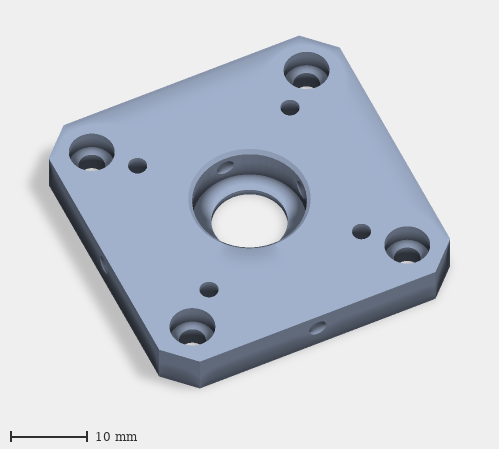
import cadquery as cq

plate_side = 42.0
plate_thickness = 6.0
corner_chamfer = 4.0

seat_diameter = 15.0
seat_depth = 5.0
seat_chamfer = 0.5
bore_diameter = 10.0

mount_spacing = 31.0
mount_hole_diameter = 3.5
mount_head_diameter = 6.0
mount_head_depth = 3.0

small_hole_spacing = 22.0
small_hole_diameter = 2.5

cross_hole_diameter = 2.5
cross_hole_height = 3.5


def make_plate():
    """Square plate with its bottom on Z = 0 and its vertical corners cut off."""
    plate = cq.Workplane("XY").box(plate_side, plate_side, plate_thickness, centered=(True, True, False))
    return plate.edges("|Z").chamfer(corner_chamfer)


def cut_central_bore(body):
    """Through bore with a wider seat from the top and a chamfered seat rim."""
    top = body.faces(">Z").workplane(origin=(0, 0, plate_thickness))
    body = top.cboreHole(bore_diameter, seat_diameter, seat_depth)
    rim_radius = seat_diameter / 2 + seat_chamfer
    rim = cq.Solid.makeCone(
        seat_diameter / 2,
        rim_radius,
        seat_chamfer,
        pnt=cq.Vector(0, 0, plate_thickness - seat_chamfer),
    )
    return body.cut(cq.Workplane(rim))


def square_pattern(body, spacing):
    """Four points on the top face at the corners of a centred square."""
    top = body.faces(">Z").workplane(origin=(0, 0, plate_thickness))
    return top.rect(spacing, spacing, forConstruction=True).vertices()


def cut_cross_holes(body):
    """One hole along X and one along Y, crossing at the plate centre."""
    for plane in ("YZ", "XZ"):
        hole = (
            cq.Workplane(plane, origin=(0, 0, cross_hole_height))
            .circle(cross_hole_diameter / 2)
            .extrude(plate_side / 2, both=True)
        )
        body = body.cut(hole)
    return body


result = make_plate()
result = cut_central_bore(result)
result = square_pattern(result, mount_spacing).cboreHole(
    mount_hole_diameter, mount_head_diameter, mount_head_depth
)
result = square_pattern(result, small_hole_spacing).hole(small_hole_diameter)
result = cut_cross_holes(result)